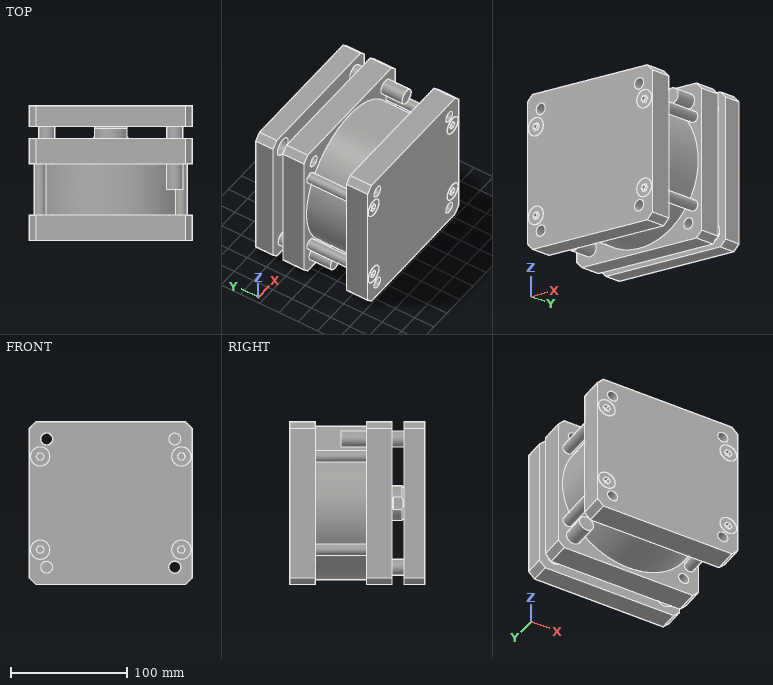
import cadquery as cq

PLATE_SIDE = 140
CORNER_CHAMFER = 5.9
CLAMP_THICKNESS = 22.0
MIDDLE_THICKNESS = 22.0
END_THICKNESS = 18.0
BODY_LENGTH = 44.0
REAR_GAP = 10.1

CLAMP_REAR = CLAMP_THICKNESS
MIDDLE_FRONT = CLAMP_REAR + BODY_LENGTH
MIDDLE_REAR = MIDDLE_FRONT + MIDDLE_THICKNESS
END_FRONT = MIDDLE_REAR + REAR_GAP

BODY_DIAMETER = 132.0

CORNER_OFFSET = 55.0
CORNER_HOLE_DIAMETER = 10.1
GUIDE_BORE_DIAMETER = 16.5
PIN_DIAMETER = 14
PIN_PROTRUSION = 22.0

SCREW_X = 60.6
SCREW_Z = 40.0
SCREW_DIAMETER = 10.0
HEAD_DIAMETER = 16.5
HEAD_HEIGHT = 10.0
HEAD_RECESS = 0.3
SOCKET_ACROSS_CORNERS = 7
SOCKET_DEPTH = 4.0

STUD_DIAMETER = 30.0
STUD_FLATS = 28
STUD_CHAMFER = 1.5
RUNOUT_START = 0.5
RUNOUT_END = 1.1

OPEN_CORNERS = [(-CORNER_OFFSET, CORNER_OFFSET), (CORNER_OFFSET, -CORNER_OFFSET)]
PIN_CORNERS = [(CORNER_OFFSET, CORNER_OFFSET), (-CORNER_OFFSET, -CORNER_OFFSET)]
SCREW_POINTS = [(x, z) for x in (-SCREW_X, SCREW_X) for z in (-SCREW_Z, SCREW_Z)]


def section_plane(y):
    """Sketch plane at station y: local axes are X and Z, extrusion runs towards -Y."""
    return cq.Workplane("XZ", origin=(0, y, 0))


def rods(points, diameter, y_front, y_rear):
    """Round bars along Y at the given (x, z) points."""
    return section_plane(y_rear).pushPoints(points).circle(diameter / 2).extrude(y_rear - y_front)


def plate(y_front, thickness):
    """Square plate with chamfered corners."""
    blank = section_plane(y_front + thickness).rect(PLATE_SIDE, PLATE_SIDE).extrude(thickness)
    return blank.edges("|Y").chamfer(CORNER_CHAMFER)


def clamp_plate():
    body = plate(0, CLAMP_THICKNESS)
    body = body.cut(rods(OPEN_CORNERS + PIN_CORNERS, CORNER_HOLE_DIAMETER, 0, CLAMP_REAR))
    return body.cut(rods(SCREW_POINTS, HEAD_DIAMETER, 0, HEAD_HEIGHT))


def middle_plate():
    body = plate(MIDDLE_FRONT, MIDDLE_THICKNESS)
    return body.cut(rods(OPEN_CORNERS, CORNER_HOLE_DIAMETER, MIDDLE_FRONT, MIDDLE_REAR))


def end_plate():
    body = plate(END_FRONT, END_THICKNESS)
    return body.cut(rods(OPEN_CORNERS, GUIDE_BORE_DIAMETER, END_FRONT, END_FRONT + END_THICKNESS))


def screws():
    heads = rods(SCREW_POINTS, HEAD_DIAMETER, HEAD_RECESS, HEAD_HEIGHT)
    shanks = rods(SCREW_POINTS, SCREW_DIAMETER, HEAD_HEIGHT, MIDDLE_FRONT)
    sockets = (
        section_plane(HEAD_RECESS + SOCKET_DEPTH)
        .pushPoints(SCREW_POINTS)
        .polygon(6, SOCKET_ACROSS_CORNERS)
        .extrude(SOCKET_DEPTH)
    )
    return heads.union(shanks).cut(sockets)


def stud():
    blank = rods([(0, 0)], STUD_DIAMETER, MIDDLE_REAR, END_FRONT).faces(">Y").chamfer(STUD_CHAMFER)
    half_flats = STUD_FLATS / 2
    radius = STUD_DIAMETER / 2
    flats_outline = [
        (-radius, MIDDLE_REAR),
        (radius, MIDDLE_REAR),
        (radius, MIDDLE_REAR + RUNOUT_START),
        (half_flats, MIDDLE_REAR + RUNOUT_END),
        (half_flats, END_FRONT),
        (-half_flats, END_FRONT),
        (-half_flats, MIDDLE_REAR + RUNOUT_END),
        (-radius, MIDDLE_REAR + RUNOUT_START),
    ]
    envelope = cq.Workplane("XY").polyline(flats_outline).close().extrude(radius, both=True)
    return blank.intersect(envelope)


result = (
    clamp_plate()
    .union(rods([(0, 0)], BODY_DIAMETER, CLAMP_REAR, MIDDLE_FRONT))
    .union(screws())
    .union(middle_plate())
    .union(rods(PIN_CORNERS, PIN_DIAMETER, MIDDLE_FRONT - PIN_PROTRUSION, END_FRONT))
    .union(stud())
    .union(end_plate())
)